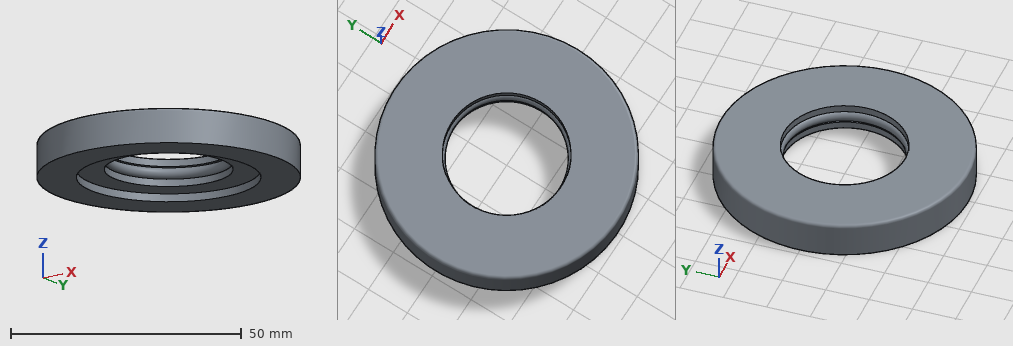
import cadquery as cq

outer_radius = 28.6
height = 7.9
top_edge_radius = 0.75
bore_radius = 13.95

recess_depth = 1.8
recess_radius = 20.0

groove_height = 2.85
seal_thickness = 2.5
seal_inner_radius = 13.3
groove_radius = seal_inner_radius + seal_thickness
groove_middle = (height + recess_depth) / 2


def disc(radius, thickness, bottom):
    """Solid disc about the Z axis, standing on the given level."""
    return cq.Workplane("XY").workplane(offset=bottom).circle(radius).extrude(thickness)


def make_housing():
    """Round housing with a bore, an internal ring groove and a recessed underside."""
    body = disc(outer_radius, height, 0).faces(">Z").edges().fillet(top_edge_radius)
    bore = disc(bore_radius, height, 0)
    recess = disc(recess_radius, recess_depth, 0)
    groove = disc(groove_radius, groove_height, groove_middle - groove_height / 2)
    return body.cut(bore).cut(recess).cut(groove)


def make_seal_ring():
    """Round-section ring that rests against the groove floor and stands proud of the bore."""
    section_radius = seal_thickness / 2
    ring_radius = seal_inner_radius + section_radius
    section = cq.Workplane("XZ").center(ring_radius, groove_middle).circle(section_radius)
    return section.revolve(360, (-ring_radius, 0), (-ring_radius, 1))


housing = make_housing()
seal_ring = make_seal_ring()

result = cq.Compound.makeCompound([housing.val(), seal_ring.val()])